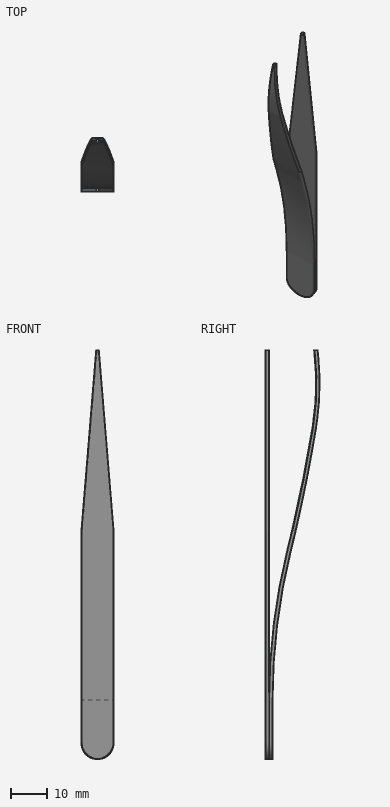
import cadquery as cq
import math

length = 113.6
width = 9.0
tip_width = 0.8
taper_start = 63.6
thickness = 1.0
edge_radius = 0.17

bend_start = 16.5
tip_trim = 1.1
bends = [(58.0, 13.9), (92.0, 9.3), (length + tip_trim, -7.8)]
side_margin = 1.1


def blade(y_front, y_back):
    """Plate with the blade's front outline: round heel, straight grip and tapered tip."""
    half_width = width / 2
    half_tip = tip_width / 2
    return (
        cq.Workplane("XZ", origin=(0, y_front, 0))
        .moveTo(-half_width, half_width)
        .threePointArc((0, 0), (half_width, half_width))
        .lineTo(half_width, taper_start)
        .lineTo(half_tip, length)
        .lineTo(-half_tip, length)
        .lineTo(-half_width, taper_start)
        .close()
        .extrude(y_front - y_back)
    )


def face_offset(y, z, angle, distance):
    """Point at a distance behind a centreline point, square to its direction."""
    return (y + distance * math.cos(angle), z - distance * math.sin(angle))


def bent_strip():
    """Side profile of the rear arm, extruded across the full blade width."""
    y = 1.5 * thickness
    z = bend_start
    angle = 0.0
    half_thickness = thickness / 2
    front_start = face_offset(y, z, angle, -half_thickness)
    back_start = face_offset(y, z, angle, half_thickness)
    front_arcs = []
    back_arcs = []
    for end_z, end_degrees in bends:
        end_angle = math.radians(end_degrees)
        radius = (end_z - z) / (math.sin(end_angle) - math.sin(angle))
        center_y = y + radius * math.cos(angle)
        center_z = z - radius * math.sin(angle)
        middle = (angle + end_angle) / 2
        mid_y = center_y - radius * math.cos(middle)
        mid_z = center_z + radius * math.sin(middle)
        y = center_y - radius * math.cos(end_angle)
        z = end_z
        for arcs, distance in ((front_arcs, -half_thickness), (back_arcs, half_thickness)):
            mid_point = face_offset(mid_y, mid_z, middle, distance)
            end_point = face_offset(y, z, end_angle, distance)
            arcs.append((mid_point, end_point))
        angle = end_angle

    profile = cq.Workplane("YZ").moveTo(front_start[0], 0).lineTo(*front_start)
    for mid_point, end_point in front_arcs:
        profile = profile.threePointArc(mid_point, end_point)
    profile = profile.lineTo(*back_arcs[-1][1])
    back_ends = [back_start] + [end_point for _, end_point in back_arcs[:-1]]
    for (mid_point, _), start_point in zip(reversed(back_arcs), reversed(back_ends)):
        profile = profile.threePointArc(mid_point, start_point)
    return profile.lineTo(back_start[0], 0).close().extrude(width / 2 + side_margin, both=True)


def round_edges(arm):
    """Round the long edges of both faces, leaving the tip and the lines across the bends sharp."""
    return arm.edges("not |X").filter(lambda edge: edge.Length() > 2 * thickness).fillet(edge_radius)


front_arm = round_edges(blade(0, thickness))
rear_arm = round_edges(bent_strip().intersect(blade(0, length / 2)))
result = front_arm.union(rear_arm)